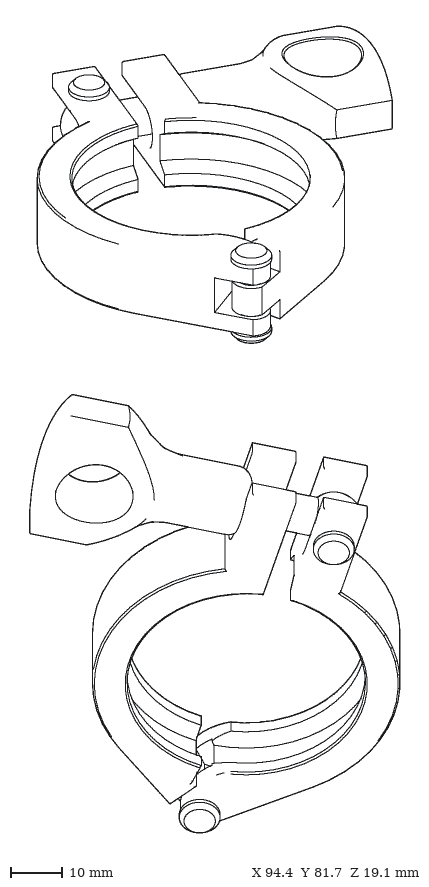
import cadquery as cq
import math

OUTER_RADIUS = 30.1
INNER_RADIUS = 23.3
RING_HEIGHT = 15.3
EDGE_ROUND = 0.4

GROOVE_ROOT_RADIUS = 26.1
GROOVE_MOUTH_HALF = 4.6
GROOVE_ROOT_HALF = 2.9

ARM_END_X = -48.4
ARM_INNER_Y = 2.7
ARM_OUTER_Y = 11.7
SLOT_HEIGHT = 8.6
SLOT_END_X = -30.6

HINGE_X = 35.3
BOSS_RADIUS = 3.8
FLANK_OFFSET = 3.4
TONGUE_HEIGHT = 6.2
FORK_GAP = 7.7
LIP_END_Y = 2.9
LIP_END_STEP = (27.85, 3.6)
HINGE_FACE_INNER = (28.4, 2.5)
HINGE_FACE_OUTER_X = 34.4
FORK_BOTTOM_OUTER_X = 33.7
CHEEK_START_Y = -3.1
CHEEK_MIDDLE = (27.0, 1.5)

PIN_DIAMETER = 5.0
PIN_HEAD_DIAMETER = 8.0
PIN_TOP_DIAMETER = 6.1
PIN_LENGTH = 19.1
PIN_HEAD_CHAMFER_HEIGHT = 1.0

BOLT_X = -39.2
BOLT_DIAMETER = 7.6
BOLT_TIP_Y = 25.5
BALL_Y = -7.3
BALL_DIAMETER = 11.2
BALL_THICKNESS = 8.0

STEM_DIAMETER = 13.7
STEM_END_Y = 10.4
STEM_END_ROUND = (STEM_DIAMETER - BOLT_DIAMETER) / 2
FLARE_ROUND = 10.0
EYE_Y = 41.3
EYE_HOLE_DIAMETER = 15.2
EYE_HOLE_CHAMFER = 0.4
EYE_WIDTH = 31.8
EYE_CORNER_Y = 50.1
EYE_TOP_Y = 51.6
EYE_SIDE_LOWER_Y = 38.2
EYE_SIDE_HALF_THICKNESS = 3.2
EYE_MIDDLE_HALF_THICKNESS = 7.1
EYE_TOP_ROUND = 0.4

MARGIN = 0.1

FLARE_FOOT_Y = EYE_SIDE_LOWER_Y - (EYE_WIDTH - STEM_DIAMETER) / 2

FLANK_ANGLE = math.acos((OUTER_RADIUS - FLANK_OFFSET) / HINGE_X)
BOSS_ANGLE = FLANK_ANGLE - math.acos(FLANK_OFFSET / BOSS_RADIUS)


def polar(radius, angle, center_x=0):
    return (center_x + radius * math.cos(angle), radius * math.sin(angle))


def on_circle(radius, y, side):
    """Point of an origin-centred circle at a given Y; side is 1 for +X and -1 for -X."""
    return (side * math.sqrt(radius**2 - y**2), y)


def flank_y(x):
    """Y of the upper flank at a given X."""
    return (OUTER_RADIUS - x * math.cos(FLANK_ANGLE)) / math.sin(FLANK_ANGLE)


HINGE_FACE_OUTER = (HINGE_FACE_OUTER_X, flank_y(HINGE_FACE_OUTER_X))
FORK_BOTTOM_OUTER = (FORK_BOTTOM_OUTER_X, -flank_y(FORK_BOTTOM_OUTER_X))


def centered_prism(outline, height):
    return outline.extrude(height).translate(outline.plane.zDir * (-height / 2))


def z_cylinder(x, y, diameter, height):
    return centered_prism(cq.Workplane("XY").center(x, y).circle(diameter / 2), height)


def round_arm_corner(half, y):
    """Round the upright edge where the arm end meets the side face at the given Y."""
    corner = cq.selectors.NearestToPointSelector((ARM_END_X, y, 0))
    return half.edges(corner).fillet(EDGE_ROUND)


def round_rims(half):
    """Round every edge of the flat top and bottom faces."""
    return half.faces("<Z or >Z").edges().fillet(EDGE_ROUND)


def ring_groove():
    return (
        cq.Workplane("XZ")
        .moveTo(0, -GROOVE_MOUTH_HALF)
        .lineTo(INNER_RADIUS, -GROOVE_MOUTH_HALF)
        .lineTo(GROOVE_ROOT_RADIUS, -GROOVE_ROOT_HALF)
        .lineTo(GROOVE_ROOT_RADIUS, GROOVE_ROOT_HALF)
        .lineTo(INNER_RADIUS, GROOVE_MOUTH_HALF)
        .lineTo(0, GROOVE_MOUTH_HALF)
        .close()
        .revolve(360, (0, 0, 0), (0, 1, 0))
    )


def arm_slot():
    """Slot open at the arm ends and round at the ring, running through both arms along Y."""
    end_center_x = SLOT_END_X - SLOT_HEIGHT / 2
    depth = 3 * ARM_OUTER_Y
    straight = cq.Workplane("XY").box(end_center_x - ARM_END_X, depth, SLOT_HEIGHT)
    straight = straight.translate(((end_center_x + ARM_END_X) / 2, 0, 0))
    end = centered_prism(
        cq.Workplane("XZ").center(end_center_x, 0).circle(SLOT_HEIGHT / 2), depth
    )
    return straight.union(end)


def round_slot_mouth(half, sides):
    """Round the slot's edges on the arm end and on the given side faces of the arm."""
    reach = SLOT_HEIGHT / 2 + MARGIN
    mouth = half.edges(
        cq.selectors.BoxSelector(
            (ARM_END_X - MARGIN, -ARM_OUTER_Y, -reach), (ARM_END_X + MARGIN, ARM_OUTER_Y, reach)
        )
    )
    for y in sides:
        mouth = mouth.add(
            half.edges(
                cq.selectors.BoxSelector(
                    (ARM_END_X, y - MARGIN, -reach), (SLOT_END_X + MARGIN, y + MARGIN, reach)
                )
            )
        )
    return half.newObject(mouth.vals()).fillet(EDGE_ROUND)


def upper_body():
    outline = (
        cq.Workplane("XY")
        .moveTo(ARM_END_X, ARM_INNER_Y)
        .lineTo(*on_circle(INNER_RADIUS, ARM_INNER_Y, -1))
        .threePointArc((0, INNER_RADIUS), on_circle(INNER_RADIUS, LIP_END_Y, 1))
        .lineTo(*LIP_END_STEP)
        .lineTo(*HINGE_FACE_INNER)
        .lineTo(*HINGE_FACE_OUTER)
        .lineTo(*polar(OUTER_RADIUS, FLANK_ANGLE))
        .threePointArc((0, OUTER_RADIUS), on_circle(OUTER_RADIUS, ARM_OUTER_Y, -1))
        .lineTo(ARM_END_X, ARM_OUTER_Y)
        .close()
    )
    return round_rims(round_arm_corner(centered_prism(outline, RING_HEIGHT), ARM_INNER_Y))


def hinge_tongue():
    """Narrow tongue from the hinge face to a round end about the hinge pin."""
    outline = (
        cq.Workplane("XY")
        .moveTo(*HINGE_FACE_INNER)
        .lineTo(*HINGE_FACE_OUTER)
        .lineTo(*polar(BOSS_RADIUS, BOSS_ANGLE, HINGE_X))
        .threePointArc((HINGE_X, -BOSS_RADIUS), (HINGE_X - BOSS_RADIUS, 0))
        .close()
    )
    return centered_prism(outline, TONGUE_HEIGHT)


def make_upper_half():
    half = upper_body().cut(ring_groove()).cut(arm_slot())
    return (
        round_slot_mouth(half, [ARM_INNER_Y])
        .cut(nut_stem())
        .union(hinge_tongue())
        .cut(z_cylinder(HINGE_X, 0, PIN_DIAMETER, RING_HEIGHT))
    )


def lower_body():
    outline = (
        cq.Workplane("XY")
        .moveTo(ARM_END_X, -ARM_INNER_Y)
        .lineTo(*on_circle(INNER_RADIUS, -ARM_INNER_Y, -1))
        .threePointArc((0, -INNER_RADIUS), on_circle(INNER_RADIUS, CHEEK_START_Y, 1))
        .threePointArc(CHEEK_MIDDLE, (HINGE_X, BOSS_RADIUS))
        .threePointArc((HINGE_X + BOSS_RADIUS, 0), polar(BOSS_RADIUS, -BOSS_ANGLE, HINGE_X))
        .lineTo(*polar(OUTER_RADIUS, -FLANK_ANGLE))
        .threePointArc((0, -OUTER_RADIUS), on_circle(OUTER_RADIUS, -ARM_OUTER_Y, -1))
        .lineTo(ARM_END_X, -ARM_OUTER_Y)
        .close()
    )
    return round_rims(round_arm_corner(centered_prism(outline, RING_HEIGHT), -ARM_OUTER_Y))


def fork_gap():
    """Gap for the tongue, with a slanted flat bottom and open toward the upper half."""
    inner = (HINGE_FACE_INNER[0], -HINGE_FACE_INNER[1])
    outer = FORK_BOTTOM_OUTER
    step = (outer[0] - inner[0], outer[1] - inner[1])
    outline = cq.Workplane("XY").polyline(
        [
            (inner[0] - step[0], inner[1] - step[1]),
            (outer[0] + step[0], outer[1] + step[1]),
            (OUTER_RADIUS + HINGE_X, OUTER_RADIUS),
            (inner[0] - step[0], OUTER_RADIUS),
        ]
    ).close()
    return centered_prism(outline, FORK_GAP)


def make_lower_half():
    half = lower_body().cut(ring_groove()).cut(arm_slot())
    return (
        round_slot_mouth(half, [-ARM_INNER_Y, -ARM_OUTER_Y])
        .cut(fork_gap())
        .cut(z_cylinder(HINGE_X, 0, PIN_DIAMETER, RING_HEIGHT))
        .cut(z_cylinder(BOLT_X, BALL_Y, PIN_DIAMETER, RING_HEIGHT))
    )


def make_pin(x, y):
    """Pin along Z with a bevelled head on each end, seated on the clamp's flat faces."""
    head_height = (PIN_LENGTH - RING_HEIGHT) / 2
    bevel = (PIN_HEAD_DIAMETER - PIN_TOP_DIAMETER) / 2
    head = (
        cq.Workplane("XY")
        .workplane(offset=RING_HEIGHT / 2)
        .circle(PIN_HEAD_DIAMETER / 2)
        .extrude(head_height)
        .faces(">Z")
        .chamfer(PIN_HEAD_CHAMFER_HEIGHT, bevel)
    )
    shaft = z_cylinder(0, 0, PIN_DIAMETER, RING_HEIGHT)
    return shaft.union(head).union(head.mirror("XY")).translate((x, y, 0))


def y_rod(diameter, start_y, end_y):
    """Cylinder along the bolt axis; a negative XZ extrusion runs toward +Y."""
    return (
        cq.Workplane("XZ", origin=(BOLT_X, start_y, 0))
        .circle(diameter / 2)
        .extrude(start_y - end_y)
    )


def make_bolt():
    """Bolt along Y whose ball end is flattened to fit the slot and drilled for a pin."""
    slab = cq.Workplane("XY").box(BALL_DIAMETER, BALL_DIAMETER, BALL_THICKNESS)
    ball = cq.Workplane("XY").sphere(BALL_DIAMETER / 2).intersect(slab)
    ball = ball.translate((BOLT_X, BALL_Y, 0))
    return (
        ball.union(y_rod(BOLT_DIAMETER, BALL_Y, BOLT_TIP_Y))
        .cut(z_cylinder(BOLT_X, BALL_Y, PIN_DIAMETER, RING_HEIGHT))
    )


def nut_stem():
    """Stem with a rounded lower end, reaching up to the foot of the eye's flare."""
    return y_rod(STEM_DIAMETER, STEM_END_Y, FLARE_FOOT_Y).faces("<Y").edges().fillet(STEM_END_ROUND)


def eye_flare():
    """45 degree cone that opens from the stem to the sides of the eye."""
    foot_radius = STEM_DIAMETER / 2
    wide_radius = EYE_WIDTH
    return (
        cq.Workplane("XY", origin=(BOLT_X, 0, 0))
        .moveTo(0, FLARE_FOOT_Y)
        .lineTo(foot_radius, FLARE_FOOT_Y)
        .lineTo(wide_radius, FLARE_FOOT_Y + wide_radius - foot_radius)
        .lineTo(0, FLARE_FOOT_Y + wide_radius - foot_radius)
        .close()
        .revolve(360, (0, 0, 0), (0, 1, 0))
    )


def eye_lens():
    """Lens-shaped bar with flat sides, running along Y under the arched top of the eye."""
    half_width = EYE_WIDTH / 2
    side = EYE_SIDE_HALF_THICKNESS
    middle = EYE_MIDDLE_HALF_THICKNESS
    bar = (
        cq.Workplane("XZ", origin=(BOLT_X, 0, 0))
        .moveTo(-half_width, -side)
        .lineTo(-half_width, side)
        .threePointArc((0, middle), (half_width, side))
        .lineTo(half_width, -side)
        .threePointArc((0, -middle), (-half_width, -side))
        .close()
        .extrude(-EYE_TOP_Y)
    )
    crown = centered_prism(
        cq.Workplane("XY", origin=(BOLT_X, 0, 0))
        .moveTo(-half_width, 0)
        .lineTo(half_width, 0)
        .lineTo(half_width, EYE_CORNER_Y)
        .threePointArc((0, EYE_TOP_Y), (-half_width, EYE_CORNER_Y))
        .close(),
        RING_HEIGHT,
    )
    return bar.intersect(crown)


def make_nut():
    """Stem and eye joined by a blended flare, bored blind for the bolt."""
    eye = eye_lens().intersect(eye_flare()).faces(">Y").edges().fillet(EYE_TOP_ROUND)
    foot = cq.selectors.BoxSelector(
        (BOLT_X - STEM_DIAMETER, FLARE_FOOT_Y - MARGIN, -STEM_DIAMETER),
        (BOLT_X + STEM_DIAMETER, FLARE_FOOT_Y + MARGIN, STEM_DIAMETER),
    )
    body = nut_stem().union(eye).edges(foot).fillet(FLARE_ROUND)
    hole = z_cylinder(BOLT_X, EYE_Y, EYE_HOLE_DIAMETER, RING_HEIGHT)
    hole_reach = EYE_HOLE_DIAMETER / 2 + MARGIN
    upper_rim = cq.selectors.BoxSelector(
        (BOLT_X - hole_reach, EYE_Y - hole_reach, EYE_SIDE_HALF_THICKNESS),
        (BOLT_X + hole_reach, EYE_Y + hole_reach, RING_HEIGHT),
        boundingbox=True,
    )
    body = body.cut(hole).edges(upper_rim).chamfer(EYE_HOLE_CHAMFER)
    return body.cut(y_rod(BOLT_DIAMETER, STEM_END_Y, BOLT_TIP_Y))


upper_half = make_upper_half()
lower_half = make_lower_half()
bolt = make_bolt()
wing_nut = make_nut()
pins = [make_pin(x, y) for x, y in [(HINGE_X, 0), (BOLT_X, BALL_Y)]]

result = cq.Compound.makeCompound(
    [upper_half.val(), lower_half.val(), bolt.val(), wing_nut.val(), *[pin.val() for pin in pins]]
)